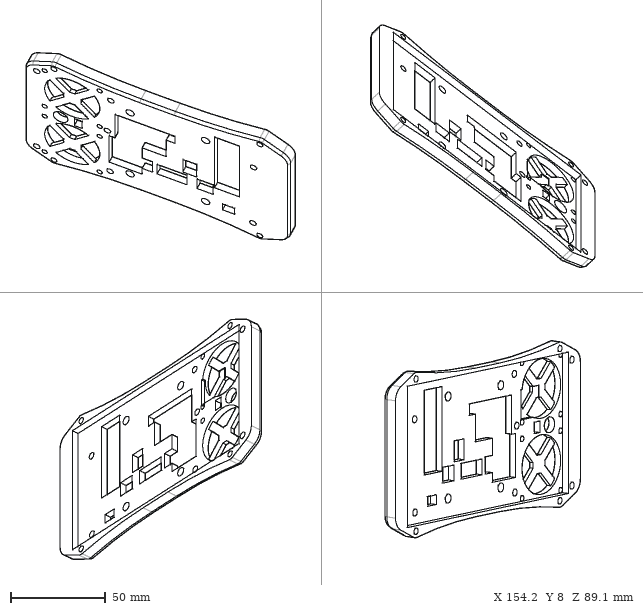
import cadquery as cq
import math

length = 154.2
thickness = 8.0
height = 89.1
half_length = length / 2
half_height = height / 2

end_round_radius = 7.9
end_round_z = 31.6
ear_round_radius = 4.0
ear_x = 60.0
waist_half_height = 40.1
waist_half_flat = 10.0
chamfer_inset = 1.0
chamfer_depth = 2.0

face_thickness = 4.0
cavity_half_length = 67.0
cavity_half_height = 38.1

fan_x = -49.3
fan_z = 20.5
fan_opening_diameter = 32.0
fan_hub_side = 10.0
fan_spoke_width = 5.0
spoke_thickness = 2.5
fan_screw_offset = 16.0
fan_screw_diameter = 3.0

relief_right = -32.4
relief_bottom = 5.9
relief_top = 22.0
relief_floor = 2.0

ear_hole_z = 41.0
ear_hole_diameter = 3.4
board_hole_diameter = 4.8
board_hole_xs = (-15.5, 28.4)
board_hole_zs = (26.8, -28.2)
mount_hole_diameter = 3.7
mount_hole_centers = [
    (-70.0, 33.6),
    (-70.0, -34.2),
    (-26.8, 31.5),
    (-28.8, 3.2),
    (-27.3, -32.5),
    (56.3, 18.3),
    (56.0, -31.9),
]
jack_hole_x = -56.1
jack_hole_diameter = 8.5

connector_bottom = -19.3
connector_top = -10.8
windows = [
    (33.6, 48.1, -12.8, 32.8),
    (15.1, 23.1, -9.1, 2.2),
    (0.2, 17.5, connector_bottom, connector_top),
    (23.5, 32.8, connector_bottom, connector_top),
    (38.2, 45.3, -30.0, -24.8),
    (-48.1, -43.5, -3.1, 3.1),
]

main_left = -27.8
main_upper_left = -24.4
main_inner = -8.6
main_tab_right = -2.6
main_upper_right = 5.4
main_top_right = 10.5
main_top = 20.4
main_top_step = 14.2
main_middle = -0.8
main_tab_top = -10.0
main_bottom = -24.5


def extrude_through(sketch):
    """Extrude an XZ sketch through the full plate thickness."""
    return sketch.extrude(thickness / 2, both=True)


def front_sketch():
    return cq.Workplane("XZ")


def point_on(center, radius, angle):
    return (center[0] + radius * math.cos(angle), center[1] + radius * math.sin(angle))


def quarter_body():
    """Quarter of the plate at +X, +Z, with all neighbouring stretches tangent."""
    end_center = (half_length - end_round_radius, end_round_z)
    ear_center = (ear_x, half_height - ear_round_radius)

    run = end_center[0] - ear_center[0]
    drop = ear_center[1] - end_center[1]
    spread = math.hypot(run, drop)
    radius_step = ear_round_radius - end_round_radius
    flank_angle = math.acos(radius_step / spread) - math.atan2(drop, run)

    reach = ear_x - waist_half_flat
    rise = half_height - waist_half_height
    waist_offset = waist_half_height - ear_center[1]
    side_radius = (reach**2 + waist_offset**2 - ear_round_radius**2) / (2 * rise)
    side_center = (waist_half_flat, waist_half_height + side_radius)
    ear_angle = math.atan2(side_center[1] - ear_center[1], side_center[0] - ear_center[0])
    side_end_angle = ear_angle - math.pi
    side_mid_angle = (side_end_angle - math.pi / 2) / 2

    sketch = (
        front_sketch()
        .lineTo(half_length, 0)
        .lineTo(half_length, end_round_z)
        .threePointArc(
            point_on(end_center, end_round_radius, flank_angle / 2),
            point_on(end_center, end_round_radius, flank_angle),
        )
        .lineTo(*point_on(ear_center, ear_round_radius, flank_angle))
        .threePointArc(
            point_on(ear_center, ear_round_radius, (flank_angle + ear_angle) / 2),
            point_on(ear_center, ear_round_radius, ear_angle),
        )
        .threePointArc(
            point_on(side_center, side_radius, side_mid_angle),
            (waist_half_flat, waist_half_height),
        )
        .lineTo(0, waist_half_height)
        .close()
    )
    return extrude_through(sketch)


def plate_body():
    quarter = quarter_body()
    half = quarter.union(quarter.mirror("YZ"))
    body = half.union(half.mirror("XY")).clean()
    return body.faces("<Y").chamfer(chamfer_inset, chamfer_depth)


def back_pocket(left, right, bottom, top, floor_thickness):
    """Rectangular pocket open at +Y that leaves a floor behind the front face."""
    return (
        cq.Workplane("XZ", origin=((left + right) / 2, thickness / 2, (bottom + top) / 2))
        .rect(right - left, top - bottom)
        .extrude(thickness - floor_thickness)
    )


def fan_recess(center_z):
    """Round recess behind a grille that thins its hub and spokes."""
    return (
        cq.Workplane("XZ", origin=(fan_x, thickness / 2, center_z))
        .circle(fan_opening_diameter / 2)
        .extrude(thickness - spoke_thickness)
    )


def fan_openings(center_z):
    """Four openings left by a round hole with a square hub and diagonal spokes."""
    center = front_sketch().center(fan_x, center_z)
    opening = extrude_through(center.circle(fan_opening_diameter / 2))
    hub = extrude_through(center.rect(fan_hub_side, fan_hub_side))
    openings = opening.cut(hub)
    for angle in (45, -45):
        spoke = front_sketch().center(fan_x, center_z).transformed(rotate=(0, 0, angle))
        openings = openings.cut(extrude_through(spoke.rect(2 * fan_opening_diameter, fan_spoke_width)))
    return openings


def round_holes(centers, diameter):
    return extrude_through(front_sketch().pushPoints(centers).circle(diameter / 2))


def window(left, right, bottom, top):
    sketch = front_sketch().center((left + right) / 2, (bottom + top) / 2)
    return extrude_through(sketch.rect(right - left, top - bottom))


def main_window():
    outline = [
        (main_upper_left, main_top),
        (main_top_right, main_top),
        (main_top_right, main_top_step),
        (main_upper_right, main_top_step),
        (main_upper_right, main_middle),
        (main_inner, main_middle),
        (main_inner, main_tab_top),
        (main_tab_right, main_tab_top),
        (main_tab_right, connector_bottom),
        (main_inner, connector_bottom),
        (main_inner, main_bottom),
        (main_left, main_bottom),
        (main_left, main_middle),
        (main_upper_left, main_middle),
    ]
    return extrude_through(front_sketch().polyline(outline).close())


ear_hole_centers = [(x, z) for x in (-ear_x, ear_x) for z in (-ear_hole_z, ear_hole_z)]
board_hole_centers = [(x, z) for x in board_hole_xs for z in board_hole_zs]
fan_screw_centers = [
    (fan_x + dx, center_z + dz)
    for center_z in (-fan_z, fan_z)
    for dx in (-fan_screw_offset, fan_screw_offset)
    for dz in (-fan_screw_offset, fan_screw_offset)
]

result = plate_body()
result = result.cut(
    back_pocket(-cavity_half_length, cavity_half_length, -cavity_half_height, cavity_half_height, face_thickness)
)
result = result.cut(back_pocket(fan_x, relief_right, relief_bottom, relief_top, relief_floor))
for center_z in (-fan_z, fan_z):
    result = result.cut(fan_recess(center_z))
    result = result.cut(fan_openings(center_z))
for bounds in windows:
    result = result.cut(window(*bounds))
result = result.cut(main_window())
result = result.cut(round_holes(ear_hole_centers, ear_hole_diameter))
result = result.cut(round_holes(board_hole_centers, board_hole_diameter))
result = result.cut(round_holes(mount_hole_centers, mount_hole_diameter))
result = result.cut(round_holes(fan_screw_centers, fan_screw_diameter))
result = result.cut(round_holes([(jack_hole_x, 0)], jack_hole_diameter))